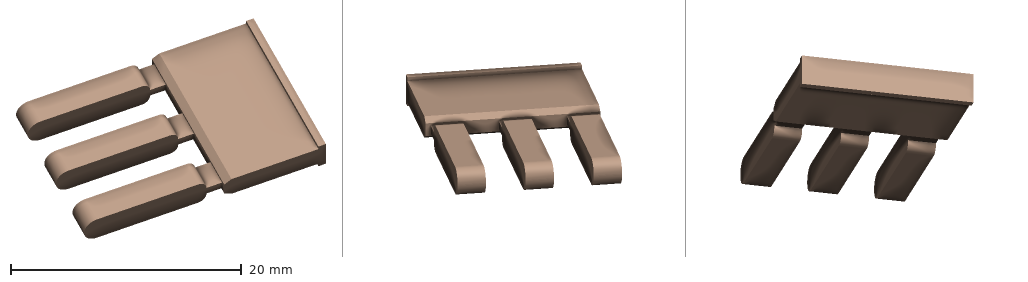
import cadquery as cq
import math

overall_length = 22.75
body_width = 15.4

lip_height = 2.7
lip_length = 0.7
body_height = 2.0
body_length = 9.65
bevel_angle = 30.0
bevel_drop = 0.4
bevel_length = bevel_drop / math.tan(math.radians(bevel_angle))

blade_count = 3
blade_pitch = 6.0
blade_width = 2.5
blade_height = 2.5
shoulder_radius = 0.8
tip_radius = 1.2

neck_length = 1.5
neck_height = 0.75

body_front_y = -body_length
blade_back_y = body_front_y - neck_length
blade_length = overall_length - body_length - neck_length


def block(width, length, height, back_y):
    """Box centred on X and Z, running from back_y toward -Y."""
    return cq.Workplane("XY").box(width, length, height).translate((0, back_y - length / 2, 0))


def make_body():
    """Lipped and bevelled side profile extruded across the full width."""
    half_lip = lip_height / 2
    half_body = body_height / 2
    half_front = half_body - bevel_drop
    upper_half = [
        (0, half_lip),
        (-lip_length, half_lip),
        (-lip_length, half_body),
        (bevel_length - body_length, half_body),
        (-body_length, half_front),
    ]
    lower_half = [(y, -z) for y, z in reversed(upper_half)]
    profile = cq.Workplane("YZ").polyline(upper_half + lower_half).close()
    return profile.extrude(body_width / 2, both=True)


def make_contact():
    """One blade with rounded ends, together with the neck behind it."""
    blade = block(blade_width, blade_length, blade_height, blade_back_y)
    blade = blade.faces(">Y").edges("|X").fillet(shoulder_radius)
    blade = blade.faces("<Y").edges("|X").fillet(tip_radius)
    neck = block(blade_width, neck_length, neck_height, body_front_y)
    return blade.union(neck)


result = make_body()
contact = make_contact()
for index in range(blade_count):
    contact_x = (index - (blade_count - 1) / 2) * blade_pitch
    result = result.union(contact.translate((contact_x, 0, 0)))